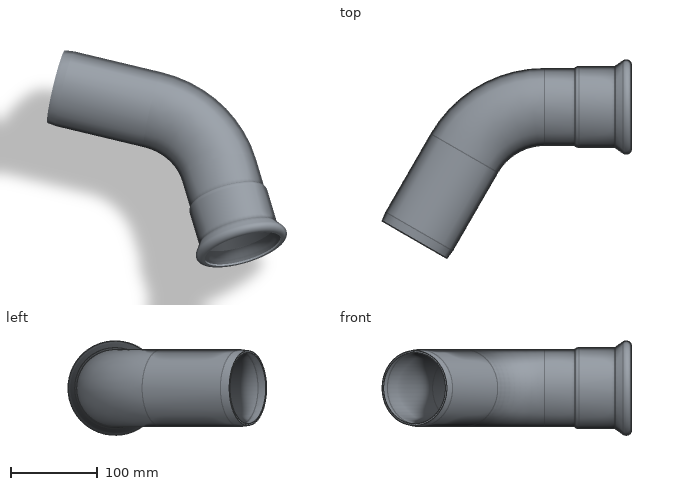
import cadquery as cq
import math

PIPE_OD = 88.9
WALL = 2.0
PIPE_R = PIPE_OD / 2
BORE_R = PIPE_R - WALL

BEND_ANGLE = 60.0
BEND_R = 1.2 * PIPE_OD

SPIGOT_LENGTH = 115.3
TIP_LENGTH = 11.0
TIP_OUTER_R = 43.2
TIP_BORE_R = TIP_OUTER_R - WALL

LEG_LENGTH = 100.4
SOCKET_DEPTH = 65.4
SOCKET_R = 93.5 / 2
SOCKET_BORE_R = SOCKET_R - WALL
STEP_LENGTH = 4.9

BEAD_OD = 109.0
BEAD_ROUND = 6.0
GROOVE_ROUND = BEAD_ROUND - WALL
BEAD_CENTER_R = BEAD_OD / 2 - BEAD_ROUND
FLARE_ANGLE = 35.0
MOUTH_R = 91.3 / 2


def bead_point(round_radius, angle):
    """Point (x, r) on a round about the bead centre; angle is measured from +X toward +r."""
    center_x = LEG_LENGTH - BEAD_ROUND
    turn = math.radians(angle)
    return (center_x + round_radius * math.cos(turn), BEAD_CENTER_R + round_radius * math.sin(turn))


def flare_foot(round_radius, cylinder_r):
    """Where the flare cone, tangent to the bead round, meets the socket cylinder."""
    tangent_x, tangent_r = bead_point(round_radius, 90 + FLARE_ANGLE)
    return (tangent_x - (tangent_r - cylinder_r) / math.tan(math.radians(FLARE_ANGLE)), cylinder_r)


def make_socket():
    """Socket leg, turned about the X axis; x = 0 is the end of the bend."""
    step_x = LEG_LENGTH - SOCKET_DEPTH
    shoulder_x = step_x + STEP_LENGTH
    flare_tangent = 90 + FLARE_ANGLE
    step_rise = SOCKET_R - PIPE_R
    step_round = (STEP_LENGTH**2 + step_rise**2) / (2 * step_rise)
    profile = (
        cq.Workplane("XY")
        .moveTo(0, BORE_R)
        .lineTo(0, PIPE_R)
        .lineTo(step_x, PIPE_R)
        .radiusArc((shoulder_x, SOCKET_R), step_round)
        .lineTo(*flare_foot(BEAD_ROUND, SOCKET_R))
        .lineTo(*bead_point(BEAD_ROUND, flare_tangent))
        .threePointArc(bead_point(BEAD_ROUND, flare_tangent / 2), bead_point(BEAD_ROUND, 0))
        .lineTo(LEG_LENGTH, MOUTH_R)
        .lineTo(LEG_LENGTH - WALL, MOUTH_R)
        .lineTo(*bead_point(GROOVE_ROUND, 0))
        .threePointArc(bead_point(GROOVE_ROUND, flare_tangent / 2), bead_point(GROOVE_ROUND, flare_tangent))
        .lineTo(*flare_foot(GROOVE_ROUND, SOCKET_BORE_R))
        .lineTo(shoulder_x, SOCKET_BORE_R)
        .lineTo(shoulder_x, BORE_R)
        .close()
    )
    return profile.revolve(360, (0, 0, 0), (1, 0, 0))


def make_bend():
    """Tube bend, turned about an axis parallel to Z."""
    ring = cq.Workplane("YZ").circle(PIPE_R).circle(BORE_R)
    return ring.revolve(BEND_ANGLE, (-BEND_R, 0, 0), (-BEND_R, 1, 0))


def make_spigot():
    """Spigot leg, built along -X from the origin and swung round the bend centre."""
    taper_x = TIP_LENGTH - SPIGOT_LENGTH
    outline = [
        (0, BORE_R),
        (0, PIPE_R),
        (taper_x, PIPE_R),
        (-SPIGOT_LENGTH, TIP_OUTER_R),
        (-SPIGOT_LENGTH, TIP_BORE_R),
        (taper_x, BORE_R),
    ]
    leg = cq.Workplane("XY").polyline(outline).close().revolve(360, (0, 0, 0), (1, 0, 0))
    return leg.rotate((0, -BEND_R, 0), (0, -BEND_R, 1), BEND_ANGLE)


result = make_socket().union(make_bend()).union(make_spigot())